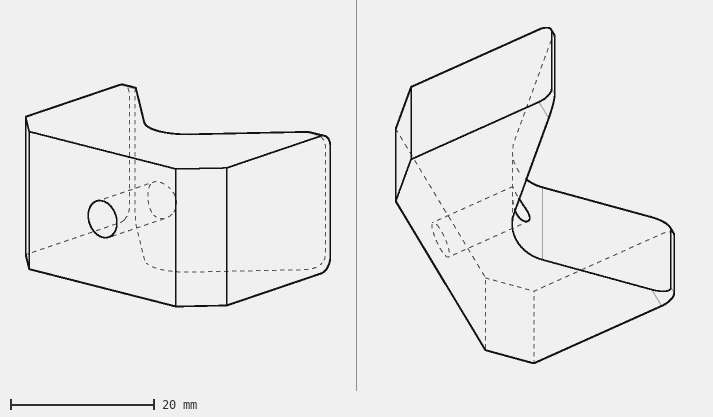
import cadquery as cq
import math

length = 37.0
depth = 27.0
height = 20.0

corner_chamfer = 5.0
hole_diameter = 5.3
tip_fillet = 2.0
tip_width = 1.0
vee_radius = 6.0


def block():
    """Block centred in X and Z, front face at Y = 0, front vertical corners chamfered."""
    body = cq.Workplane("XY").box(length, depth, height, centered=(True, False, True))
    return body.faces("<Y").edges("|Z").chamfer(corner_chamfer)


def vee_cutter():
    """Right-angled vee with a rounded bottom, open towards +Y."""
    half_opening = length / 2 - tip_width
    apex_y = depth - half_opening
    half_chord = vee_radius * math.sin(math.radians(45))
    arc_bottom_y = apex_y + vee_radius * (math.sqrt(2) - 1)
    return (
        cq.Workplane("XY")
        .moveTo(-half_opening, depth)
        .lineTo(-half_chord, apex_y + half_chord)
        .threePointArc((0, arc_bottom_y), (half_chord, apex_y + half_chord))
        .lineTo(half_opening, depth)
        .close()
        .extrude(height / 2, both=True)
    )


def through_hole():
    """Round hole along Y through the middle of the front face."""
    return cq.Workplane("XZ").circle(hole_diameter / 2).extrude(-depth)


rounded_block = block().faces(">Y").edges("|X").fillet(tip_fillet)
result = rounded_block.cut(vee_cutter()).cut(through_hole())